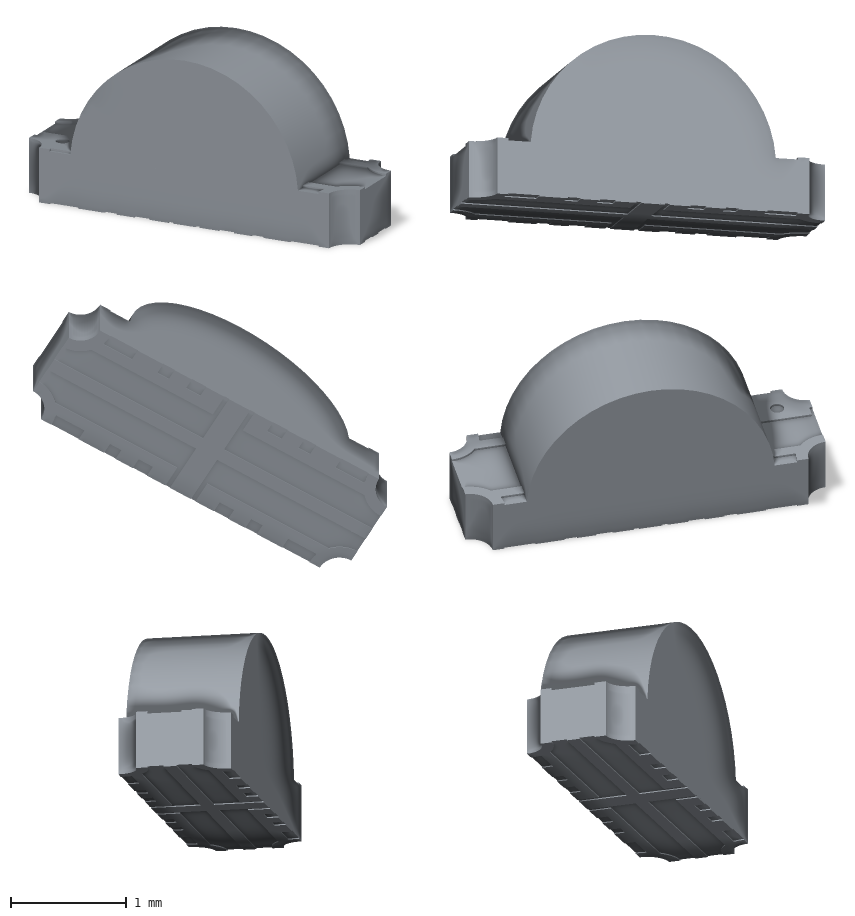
import cadquery as cq

LENGTH = 3.2
WIDTH = 1.0
TOTAL_HEIGHT = 1.5
BASE_HEIGHT = 0.5
HALF_LENGTH = LENGTH / 2
HALF_WIDTH = WIDTH / 2

UPPER_PLATING = 0.02
LOWER_PLATING = 0.01
NOTCH_RADIUS = 0.2
SUBSTRATE_NOTCH_RADIUS = NOTCH_RADIUS + UPPER_PLATING
COLLAR_RADIUS = 0.3
SUBSTRATE_TOP = BASE_HEIGHT - UPPER_PLATING
SUBSTRATE_HEIGHT = SUBSTRATE_TOP - LOWER_PLATING

STRIP_OFFSET = 0.1
STRIP_WIDTH = 0.1
CONTACT_REACH = 1.45
SHOULDER_REACH = 0.29
SHOULDER_START = 0.065
TAB_RANGES = [(0.575, 0.832), (0.947, 1.12), (1.265, CONTACT_REACH)]
PAD_EDGE_GAP = 0.03
PAD_DEPTH = 0.4

VIA_X = 0.3
VIA_Y = 0.25
VIA_DIAMETER = 0.1
VIA_OPENING_DIAMETER = 0.12

LENS_RADIUS = 1.105
LENS_AXIS_Z = TOTAL_HEIGHT - LENS_RADIUS

CROSS_BAR_LENGTH = 0.21
LONG_BAR_WIDTH = 0.115

CORNERS = [(-1, -1), (1, -1), (-1, 1), (1, 1)]
WIDE_PAD_CORNER = (-1, -1)


def block(x_start, y_start, x_end, y_end, bottom, height):
    """Box between two opposite plan corners, standing on a given level."""
    return (
        cq.Workplane("XY", origin=(x_start, y_start, bottom))
        .box(x_end - x_start, y_end - y_start, height, centered=False)
    )


def cylinder(x, y, diameter, bottom, height):
    """Upright cylinder."""
    return cq.Workplane("XY", origin=(x, y, bottom)).circle(diameter / 2).extrude(height)


def envelope(bottom, height):
    """Full plan rectangle of the package."""
    return block(-HALF_LENGTH, -HALF_WIDTH, HALF_LENGTH, HALF_WIDTH, bottom, height)


def corner_cylinder(side_x, side_y, radius, bottom, height):
    """Cylinder standing on an outer corner of the package."""
    return cylinder(side_x * HALF_LENGTH, side_y * HALF_WIDTH, 2 * radius, bottom, height)


def make_via():
    """Plug through the substrate, flush with both of its faces."""
    return cylinder(VIA_X - HALF_LENGTH, VIA_Y - HALF_WIDTH, VIA_DIAMETER, LOWER_PLATING, SUBSTRATE_HEIGHT)


def make_substrate(via):
    """Board with four notched corners and the via hole."""
    board = envelope(LOWER_PLATING, SUBSTRATE_HEIGHT)
    for side_x, side_y in CORNERS:
        notch = corner_cylinder(side_x, side_y, SUBSTRATE_NOTCH_RADIUS, LOWER_PLATING, SUBSTRATE_HEIGHT)
        board = board.cut(notch)
    return board.cut(via)


def corner_block(x_start, y_start, x_end, y_end, bottom, thickness):
    """Flat block with its plan measured from the -X, -Y corner of the package."""
    return block(
        x_start - HALF_LENGTH,
        y_start - HALF_WIDTH,
        x_end - HALF_LENGTH,
        y_end - HALF_WIDTH,
        bottom,
        thickness,
    )


def make_contact_layer(bottom, thickness):
    """Collar round the -X, -Y notch with a strip running inwards along X."""
    strip_end = STRIP_OFFSET + STRIP_WIDTH
    collar = corner_cylinder(-1, -1, COLLAR_RADIUS, bottom, thickness)
    strip = corner_block(STRIP_OFFSET, STRIP_OFFSET, CONTACT_REACH, strip_end, bottom, thickness)
    shoulder = corner_block(STRIP_OFFSET, SHOULDER_START, SHOULDER_REACH, strip_end, bottom, thickness)
    return collar.union(strip).union(shoulder)


def make_lower_layer():
    """Layer under the substrate, with tabs from the strip out to the long edge."""
    layer = make_contact_layer(0, LOWER_PLATING)
    for tab_start, tab_end in TAB_RANGES:
        layer = layer.union(corner_block(tab_start, 0, tab_end, STRIP_OFFSET, 0, LOWER_PLATING))
    return layer


def make_upper_layer(has_wide_pad):
    """Layer on the substrate, optionally widened to a pad that is open over the via."""
    layer = make_contact_layer(SUBSTRATE_TOP, UPPER_PLATING)
    if has_wide_pad:
        pad = corner_block(
            PAD_EDGE_GAP, PAD_EDGE_GAP, CONTACT_REACH, PAD_DEPTH, SUBSTRATE_TOP, UPPER_PLATING
        )
        opening = cylinder(
            VIA_X - HALF_LENGTH,
            VIA_Y - HALF_WIDTH,
            VIA_OPENING_DIAMETER,
            SUBSTRATE_TOP,
            UPPER_PLATING,
        )
        layer = layer.union(pad).cut(opening)
    return layer


def make_contact(side_x, side_y):
    """Plated notch with a layer above and below the substrate."""
    has_wide_pad = (side_x, side_y) == WIDE_PAD_CORNER
    contact = (
        corner_cylinder(-1, -1, SUBSTRATE_NOTCH_RADIUS, 0, BASE_HEIGHT)
        .union(make_lower_layer())
        .union(make_upper_layer(has_wide_pad))
        .cut(corner_cylinder(-1, -1, NOTCH_RADIUS, 0, BASE_HEIGHT))
        .intersect(envelope(0, BASE_HEIGHT))
    )
    if side_x > 0:
        contact = contact.mirror("YZ")
    if side_y > 0:
        contact = contact.mirror("XZ")
    return contact


def make_lens(contacts):
    """Cylindrical dome resting on the substrate and moulded over the contacts."""
    lens = (
        cq.Workplane("XZ", origin=(0, HALF_WIDTH, LENS_AXIS_Z))
        .circle(LENS_RADIUS)
        .extrude(WIDTH)
        .intersect(envelope(SUBSTRATE_TOP, TOTAL_HEIGHT - SUBSTRATE_TOP))
    )
    for contact in contacts:
        lens = lens.cut(contact)
    return lens


def make_mark():
    """Thin cross on the underside, reaching all four sides."""
    half_cross = CROSS_BAR_LENGTH / 2
    half_long = LONG_BAR_WIDTH / 2
    cross_bar = block(-half_cross, -HALF_WIDTH, half_cross, HALF_WIDTH, 0, LOWER_PLATING)
    long_bar = block(-HALF_LENGTH, -half_long, HALF_LENGTH, half_long, 0, LOWER_PLATING)
    return cross_bar.union(long_bar)


via = make_via()
substrate = make_substrate(via)
contacts = [make_contact(side_x, side_y) for side_x, side_y in CORNERS]
lens = make_lens(contacts)
mark = make_mark()

result = cq.Compound.makeCompound(
    [
        substrate.val(),
        *[contact.val() for contact in contacts],
        via.val(),
        lens.val(),
        mark.val(),
    ]
)